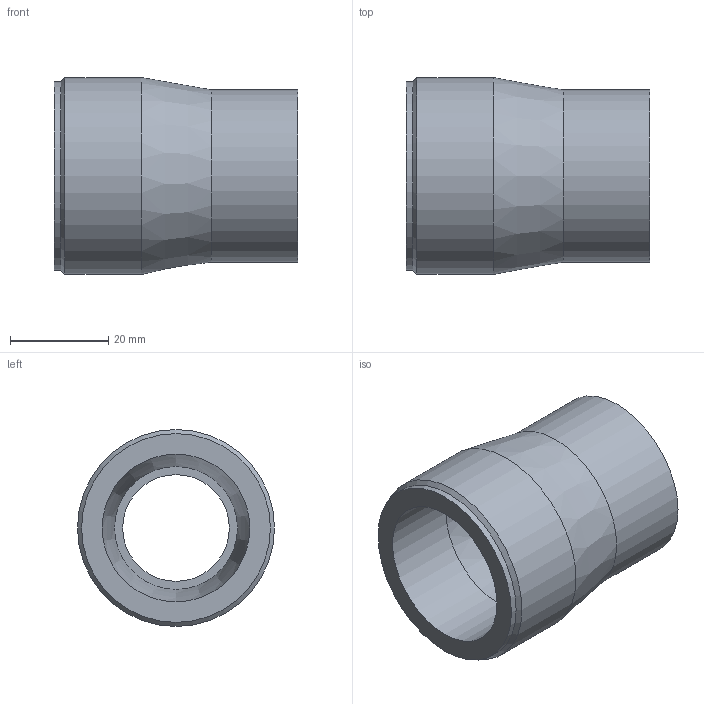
import math

import cadquery as cq

total_length = 49.5
spigot_length = 1.35
large_end_length = 17.7
large_bore_depth = 15.4

wall = 5.0
large_diameter = 40.0
small_diameter = 35.0
spigot_diameter = 38.33
large_bore_diameter = large_diameter - 2 * wall
taper_bore_end_diameter = small_diameter - 2 * wall
small_bore_diameter = 21.67

taper_angle = 10.0
taper_length = (large_diameter - small_diameter) / 2 / math.tan(math.radians(taper_angle))
outer_taper_end = large_end_length + taper_length
bore_taper_end = large_bore_depth + taper_length

chamfer = (large_diameter - spigot_diameter) / 2


def revolve_about_x(profile):
    """Turn a closed list of (x, radius) points into a solid of revolution."""
    return cq.Workplane("XZ").polyline(profile).close().revolve(360, (0, 0, 0), (1, 0, 0))


def outer_body():
    """Solid reducer: spigot, chamfer, large cylinder, taper and small cylinder."""
    return revolve_about_x([
        (0, 0),
        (0, spigot_diameter / 2),
        (spigot_length, spigot_diameter / 2),
        (spigot_length + chamfer, large_diameter / 2),
        (large_end_length, large_diameter / 2),
        (outer_taper_end, small_diameter / 2),
        (total_length, small_diameter / 2),
        (total_length, 0),
    ])


def bore():
    """Through bore: large cylinder, taper, then a flat step to the small bore."""
    return revolve_about_x([
        (0, 0),
        (0, large_bore_diameter / 2),
        (large_bore_depth, large_bore_diameter / 2),
        (bore_taper_end, taper_bore_end_diameter / 2),
        (bore_taper_end, small_bore_diameter / 2),
        (total_length, small_bore_diameter / 2),
        (total_length, 0),
    ])


result = outer_body().cut(bore())